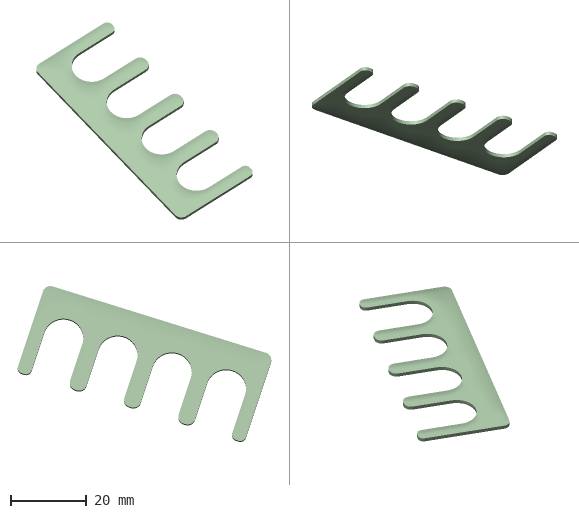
import cadquery as cq

plate_length = 63.0
plate_width = 25.0
plate_thickness = 1.0
base_corner_radius = 2.0

slot_count = 4
slot_pitch = 15.0
slot_width = 10.5
slot_depth = 17.75
slot_radius = slot_width / 2

end_tip_radius = 1.5
inner_tip_radius = 2.0

back_y = plate_width / 2
outer_slot_x = (slot_count - 1) / 2 * slot_pitch
slot_center_y = back_y - slot_depth + slot_radius


def make_plate():
    """Flat rectangular plate with its base at Z = 0 and two rounded front corners."""
    plate = cq.Workplane("XY").box(plate_length, plate_width, plate_thickness, centered=(True, True, False))
    return plate.edges("|Z and <Y").fillet(base_corner_radius)


def make_slot(center_x):
    """Cutter for one U-shaped slot."""
    left_x = center_x - slot_radius
    right_x = center_x + slot_radius
    return (
        cq.Workplane("XY")
        .moveTo(left_x, back_y)
        .lineTo(left_x, slot_center_y)
        .threePointArc((center_x, slot_center_y - slot_radius), (right_x, slot_center_y))
        .lineTo(right_x, back_y)
        .close()
        .extrude(plate_thickness)
    )


def round_tips(comb):
    """Round both corners of every finger tip."""
    inner_corners = comb.edges("|Z and >Y").filter(lambda edge: abs(edge.Center().x) < outer_slot_x)
    comb = inner_corners.fillet(inner_tip_radius)
    end_corners = comb.faces(">Y").edges("|Z").filter(lambda edge: abs(edge.Center().x) > outer_slot_x)
    return end_corners.fillet(end_tip_radius)


comb = make_plate()
for index in range(slot_count):
    slot_x = index * slot_pitch - outer_slot_x
    comb = comb.cut(make_slot(slot_x))

result = round_tips(comb)